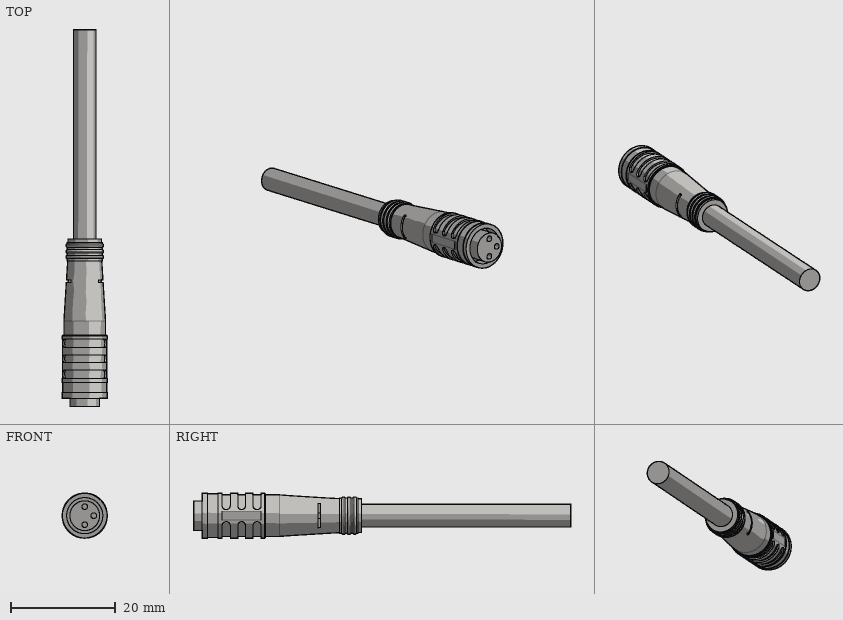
import cadquery as cq
import math

total_length = 71.9

nose_dia = 5.7
recess_dia = 6.9
recess_depth = 2.9
contact_dia = 1.1
contact_circle_radius = 1.7
contact_depth = 2.15
contact_angles = (90, 0, -90)

sleeve_dia = 8.6
sleeve_front = 1.6
sleeve_rear = 13.65
sleeve_chamfer = 0.15
front_band_start = 2.65
front_band_end = 4.6
front_band_dia = 8.4

groove_floor_dia = 8.0
groove_width = 1.6
middle_groove_width = 1.45
groove_pitch = 2.95
middle_groove_station = 9.1
groove_end_z = 1.15
flat_offset = 4.25

shank_dia = 8.0
taper_front = 16.3
taper_rear = 27.8
taper_rear_dia = 6.55

rib_count = 3
rib_pitch = 1.1
first_rib_station = 28.55
rib_dia = 7.2
rib_radius = 0.35
rib_seat_dia = 6.75
rib_seat_rear = 31.35
body_rear = 32.0
rear_rim_dia = 6.5
cable_dia = 4.4

slit_station = 23.95
slit_width = 0.5
slit_floor_offset = 2.65
bridge_offset = 3.15
bridge_height = 1.1


def cylinder(diameter, front, rear):
    """Solid cylinder on the connector axis between two stations."""
    plane = cq.Plane(origin=(0, front, 0), xDir=(1, 0, 0), normal=(0, 1, 0))
    return cq.Workplane(plane).circle(diameter / 2).extrude(rear - front)


def ring(outer_dia, inner_dia, front, rear):
    return cylinder(outer_dia, front, rear).cut(cylinder(inner_dia, front, rear))


def side_block(side, inner_x, outer_x, station, length, height):
    """Block on one side (-1 or +1), between two distances from the axis."""
    block = cq.Workplane("XY").box(outer_x - inner_x, length, height)
    return block.translate((side * (inner_x + outer_x) / 2, station, 0))


def make_tapered_body():
    profile = [
        (0, sleeve_front),
        (shank_dia / 2, sleeve_front),
        (shank_dia / 2, taper_front),
        (taper_rear_dia / 2, taper_rear),
        (rib_seat_dia / 2, taper_rear),
        (rib_seat_dia / 2, rib_seat_rear),
        (rear_rim_dia / 2, rib_seat_rear),
        (rear_rim_dia / 2, body_rear),
        (0, body_rear),
    ]
    return cq.Workplane("XY").polyline(profile).close().revolve(360, (0, 0, 0), (0, 1, 0))


def make_rib(station):
    rib_center = rib_dia / 2 - rib_radius
    section = cq.Workplane("XY").center(rib_center, station).circle(rib_radius)
    return section.revolve(360, (-rib_center, 0, 0), (-rib_center, 1, 0))


def make_sleeve():
    sleeve = cylinder(sleeve_dia, sleeve_front, sleeve_rear).faces(">Y").chamfer(sleeve_chamfer)
    return sleeve.cut(ring(sleeve_dia, front_band_dia, front_band_start, front_band_end))


def make_groove(station, width, direction):
    """Groove cutter over the top (+1) or the bottom (-1) of the sleeve."""
    shell = ring(2 * sleeve_dia, groove_floor_dia, station - width / 2, station + width / 2)
    round_z = direction * (groove_end_z + width / 2)
    far_z = direction * sleeve_dia
    outline = (
        cq.Workplane("YZ")
        .moveTo(station - width / 2, far_z)
        .lineTo(station - width / 2, round_z)
        .threePointArc((station, direction * groove_end_z), (station + width / 2, round_z))
        .lineTo(station + width / 2, far_z)
        .close()
        .extrude(sleeve_dia, both=True)
    )
    return shell.intersect(outline)


result = make_tapered_body().union(make_sleeve())
result = result.union(cylinder(cable_dia, sleeve_rear, total_length))
for rib_index in range(rib_count):
    result = result.union(make_rib(first_rib_station + rib_index * rib_pitch))

recess_floor = sleeve_front + recess_depth
result = result.cut(cylinder(recess_dia, sleeve_front, recess_floor))
result = result.union(cylinder(nose_dia, 0, recess_floor))
for angle in contact_angles:
    contact_x = contact_circle_radius * math.cos(math.radians(angle))
    contact_z = contact_circle_radius * math.sin(math.radians(angle))
    result = result.cut(cylinder(contact_dia, 0, contact_depth).translate((contact_x, 0, contact_z)))

groove_layout = ((-1, groove_width), (0, middle_groove_width), (1, groove_width))
for step, width in groove_layout:
    for direction in (-1, 1):
        result = result.cut(make_groove(middle_groove_station + step * groove_pitch, width, direction))

flat_length = 2 * groove_pitch + groove_width
for side in (-1, 1):
    flat = side_block(side, flat_offset, sleeve_dia, middle_groove_station, flat_length, sleeve_dia)
    slit = side_block(side, slit_floor_offset, sleeve_dia, slit_station, slit_width, sleeve_dia)
    bridge = side_block(side, slit_floor_offset, bridge_offset, slit_station, slit_width, bridge_height)
    result = result.cut(flat).cut(slit.cut(bridge))